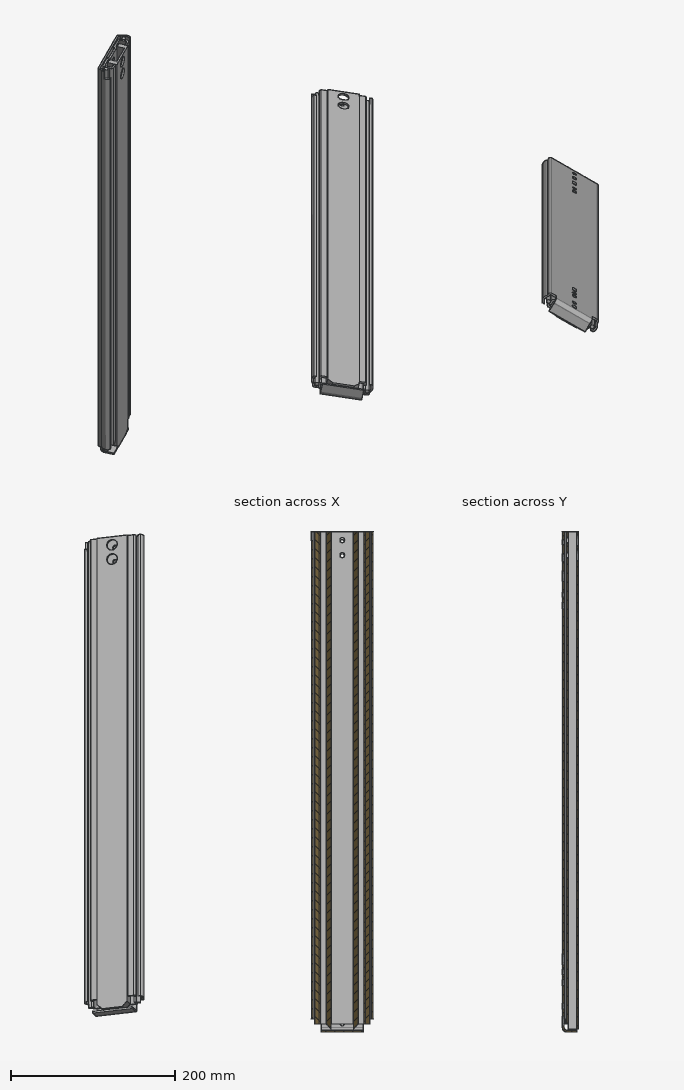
import cadquery as cq

LENGTH = 609.5
DEPTH = 19.5
WIDTH = 76.0
TOP = LENGTH / 2
BOTTOM = -LENGTH / 2
BACK = -DEPTH / 2
FRONT = DEPTH / 2
SHEET = 2.5

PLATE_HALF = 32.5
BEND = 3.0
WALL_Y = PLATE_HALF + BEND
RACE_START = -5.0
RACE_MID = 1.0
RACE_END = 7.0
RACE_END_Y = WALL_Y + 0.5
OUTER_END = BOTTOM + 16.0
TAB_HALF = 25.5
TAB_BEND = 5.5
LIP_FRONT = 8.0
NOTCH_HEIGHT = 11.0
NOTCH_X = -0.5

MIDDLE_BACK = -6.0
MIDDLE_FRONT = 8.0
MIDDLE_HALF = 29.0
MIDDLE_BEND = 3.0
MIDDLE_END = BOTTOM + 10.0
RAISED_X = -4.0
RAISED_HALF = 13.0
CROWN_START = 3.0
CROWN_MID = 5.5
FLANGE_Y = MIDDLE_HALF - 0.5
CROWN_END_Y = MIDDLE_HALF - 2.0
FLANGE_END = BOTTOM + 17.0
HOOK_Y = 20.0

INNER_BACK = -2.5
INNER_HALF = 19.5
INNER_WALL = 6.0
INNER_CHAMFER = 6.0
INNER_END = BOTTOM + 3.5

STRIP_RADIUS = 2.5
STRIP_X = 0.0
STRIP_Y = FLANGE_Y + STRIP_RADIUS

HOLE_WIDTH = 5.5
OUTER_HOLES = (
    (292.0, HOLE_WIDTH),
    (273.0, 8.5),
    (250.5, 12.0),
    (228.0, HOLE_WIDTH),
    (214.5, 7.5),
    (-216.5, 13.0),
    (-231.5, 6.0),
    (-244.5, 7.0),
    (-273.0, 7.0),
    (-291.5, 11.5),
)
MIDDLE_ACCESS_WIDTH = 6.0
INNER_ACCESS_WIDTH = 13.5
ACCESS_HOLES = (294.5, 276.0)


def both_sides(half):
    """Join a +Y half with its mirror image."""
    return half.union(half.mirror("XZ")).clean()


def block(x_min, x_max, y_min, y_max, z_min, z_max):
    """Box given by its limits."""
    size = (x_max - x_min, y_max - y_min, z_max - z_min)
    return cq.Workplane("XY").box(*size, centered=False).translate((x_min, y_min, z_min))


def hole_cutter(height, length, width):
    """Round-ended cutter along X; a hole as long as it is wide is round."""
    plane = cq.Workplane("YZ", origin=(BACK, 0, height))
    if length == width:
        return plane.circle(width / 2).extrude(DEPTH)
    return plane.slot2D(length, width, 90).extrude(DEPTH)


def cut_access_holes(body, width):
    for height in ACCESS_HOLES:
        body = body.cut(hole_cutter(height, width, width))
    return body


def outer_channel():
    """Back plate with bent side walls that bulge into ball races."""
    half = (
        cq.Workplane("XY", origin=(0, 0, OUTER_END))
        .moveTo(BACK, 0)
        .lineTo(BACK, PLATE_HALF)
        .radiusArc((BACK + BEND, WALL_Y), BEND)
        .lineTo(RACE_START, WALL_Y)
        .threePointArc((RACE_MID, WIDTH / 2), (RACE_END, RACE_END_Y))
        .lineTo(RACE_END, WALL_Y - SHEET)
        .threePointArc((RACE_MID, WIDTH / 2 - SHEET), (RACE_START, WALL_Y - SHEET))
        .lineTo(BACK + BEND, WALL_Y - SHEET)
        .radiusArc((BACK + SHEET, PLATE_HALF), SHEET - BEND)
        .lineTo(BACK + SHEET, 0)
        .close()
        .extrude(TOP - OUTER_END)
    )
    return both_sides(half)


def bottom_tab():
    """Narrow continuation of the back plate, bent forward into a lip."""
    bend_x = BACK + TAB_BEND
    bend_z = BOTTOM + TAB_BEND
    inner_bend = TAB_BEND - SHEET
    return (
        cq.Workplane("XZ", origin=(0, TAB_HALF, 0))
        .moveTo(BACK, OUTER_END)
        .lineTo(BACK, bend_z)
        .radiusArc((bend_x, BOTTOM), -TAB_BEND)
        .lineTo(LIP_FRONT, BOTTOM)
        .lineTo(LIP_FRONT, BOTTOM + SHEET)
        .lineTo(bend_x, BOTTOM + SHEET)
        .radiusArc((BACK + SHEET, bend_z), inner_bend)
        .lineTo(BACK + SHEET, OUTER_END)
        .close()
        .extrude(2 * TAB_HALF)
    )


def make_outer_member():
    body = outer_channel().union(bottom_tab())
    body = body.cut(block(NOTCH_X, FRONT, -WIDTH, -PLATE_HALF, TOP - NOTCH_HEIGHT, TOP))
    for height, length in OUTER_HOLES:
        body = body.cut(hole_cutter(height, length, HOLE_WIDTH))
    return body


def middle_channel():
    """Channel with a raised web centre and flanges hooked inward at the front."""
    web_front = MIDDLE_BACK + SHEET
    bend_x = MIDDLE_BACK + MIDDLE_BEND
    bend_y = FLANGE_Y - MIDDLE_BEND
    hook_x = MIDDLE_FRONT - SHEET
    half = (
        cq.Workplane("XY", origin=(0, 0, MIDDLE_END))
        .moveTo(RAISED_X, 0)
        .lineTo(RAISED_X, RAISED_HALF - SHEET)
        .lineTo(MIDDLE_BACK, RAISED_HALF - SHEET)
        .lineTo(MIDDLE_BACK, bend_y)
        .radiusArc((bend_x, FLANGE_Y), MIDDLE_BEND)
        .lineTo(CROWN_START, FLANGE_Y)
        .threePointArc((CROWN_MID, MIDDLE_HALF), (MIDDLE_FRONT, CROWN_END_Y))
        .lineTo(MIDDLE_FRONT, HOOK_Y)
        .lineTo(hook_x, HOOK_Y)
        .lineTo(hook_x, FLANGE_Y - SHEET)
        .lineTo(bend_x, FLANGE_Y - SHEET)
        .radiusArc((web_front, bend_y), SHEET - MIDDLE_BEND)
        .lineTo(web_front, RAISED_HALF)
        .lineTo(RAISED_X + SHEET, RAISED_HALF)
        .lineTo(RAISED_X + SHEET, 0)
        .close()
        .extrude(TOP - MIDDLE_END)
    )
    return both_sides(half)


def make_middle_member():
    body = middle_channel()
    body = body.cut(block(CROWN_START, FRONT, -WIDTH, WIDTH, MIDDLE_END, FLANGE_END))
    return cut_access_holes(body, MIDDLE_ACCESS_WIDTH)


def make_inner_member():
    """Channel open towards the back plate, its lower corners chamfered."""
    body = block(INNER_BACK, FRONT, -INNER_HALF, INNER_HALF, INNER_END, TOP)
    body = body.faces("<Z").edges("|X").chamfer(INNER_CHAMFER)
    channel_half = INNER_HALF - INNER_WALL
    body = body.cut(
        block(INNER_BACK, FRONT - SHEET, -channel_half, channel_half, INNER_END, TOP)
    )
    return cut_access_holes(body, INNER_ACCESS_WIDTH)


def make_ball_strip(side):
    """Round strip lying in one ball race; side is +1 or -1 along Y."""
    return (
        cq.Workplane("XY", origin=(STRIP_X, side * STRIP_Y, MIDDLE_END))
        .circle(STRIP_RADIUS)
        .extrude(TOP - MIDDLE_END)
    )


outer_member = make_outer_member()
middle_member = make_middle_member()
inner_member = make_inner_member()
ball_strips = [make_ball_strip(side) for side in (-1, 1)]

result = cq.Compound.makeCompound([
    outer_member.val(),
    middle_member.val(),
    inner_member.val(),
    *[strip.val() for strip in ball_strips],
])